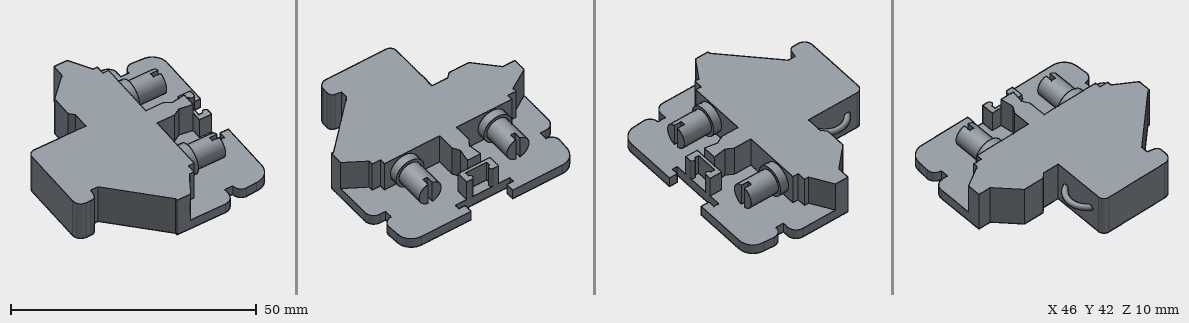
import cadquery as cq

length = 46.0
depth = 42.0
height = 10.0
half_length = length / 2
plate_thickness = 2.5

shoulder_bottom = 17.95
shoulder_top = 31.9
shoulder_radius = 2.2

notch_half_width = 19.4
notch_top = 33.8
ear_half_width = 21.45
ear_lower_radius = ear_half_width - notch_half_width
ear_taper_half_width = 21.25
ear_upper_radius = 3.6

rail_mouth_half_width = 5.2
rail_slot_half_width = 6.8
rail_lip_thickness = 2.02
rail_floor = 38.75

housing_corner_y = 21.2
housing_top = 26.7
step_y = 25.3
step_outer_x = 18.05
step_inner_x = 15.95
step_foot_y = 24.25

stem_half_width = 2.1
stem_shoulder_y = 30.95
waist_half_width = 1.15
waist_y = 32.6
stem_end_half_width = 1.65
stem_end = 35.75

left_slope_top_x = -19.95
left_slope_bottom_x = -15.05
left_ledge_y = 12.95
left_ledge_end_x = -10.05
foot_root_y = 14.05
foot_root_x = -8.95
foot_left = -5.05
foot_right = 13.52
foot_left_radius = 3.0 / 2
foot_right_radius = 2.02
toe_root_x = 11.0
toe_root_y = 4.85
toe_radius = 2.45 / 2
toe_slope_end = (12.45, 4.55)
toe_arc_end_y = 3.2
right_slope_bottom_y = 6.6
right_slope_top_x = 22.5

clip_half_width = 4.0
clip_height = 7.55
clip_pocket_half_width = 2.6
clip_pocket_floor = 36.5
clip_lip_bottom = 37.45
clip_lip_half_gap = 2.05
clip_lip_y = 38.0

screw_x = 11.0
screw_z = 6.05
screw_diameter = 5.5
collar_diameter = 7.0
collar_end = 28.7
screw_end = stem_end
screw_slot_width = 1.0
screw_slot_depth = 1.75
overlap = 0.45

ring_center = (-2.7, 7.8, 5.15)
wire_diameter = 1.4
ring_outer_radius = 5.15


def mirror_x(points):
    """The same points on the other side of the YZ plane, in reverse order."""
    return [(-x, y) for x, y in reversed(points)]


def lower_contour(sketch):
    """Continue from the left shoulder along the lower edge to the right shoulder."""
    return (
        sketch.lineTo(-half_length, shoulder_bottom)
        .lineTo(left_slope_top_x, shoulder_bottom)
        .lineTo(left_slope_bottom_x, left_ledge_y)
        .lineTo(left_ledge_end_x, left_ledge_y)
        .lineTo(foot_root_x, foot_root_y)
        .lineTo(foot_left, foot_root_y)
        .lineTo(foot_left, foot_left_radius)
        .radiusArc((foot_left + foot_left_radius, 0), -foot_left_radius)
        .lineTo(foot_right - foot_right_radius, 0)
        .radiusArc((foot_right, foot_right_radius), -foot_right_radius)
        .lineTo(foot_right, toe_arc_end_y)
        .radiusArc(toe_slope_end, -toe_radius)
        .lineTo(toe_root_x, toe_root_y)
        .lineTo(toe_root_x, right_slope_bottom_y)
        .lineTo(right_slope_top_x, shoulder_bottom)
        .lineTo(half_length, shoulder_bottom)
        .lineTo(half_length, housing_corner_y)
    )


def make_housing():
    left_edge = [
        (-step_inner_x, housing_top),
        (-step_inner_x, step_y),
        (-step_outer_x, step_y),
        (-step_outer_x, step_foot_y),
        (-half_length, housing_corner_y),
    ]
    outline = lower_contour(cq.Workplane("XY").polyline(left_edge))
    right_edge = mirror_x(left_edge)
    for point in right_edge[1:]:
        outline = outline.lineTo(*point)
    return outline.close().extrude(height)


def make_half_stem():
    """Left half of the stem, tapering to a narrow waist and widening again."""
    return (
        cq.Workplane("XY")
        .moveTo(0, housing_top)
        .lineTo(0, stem_end)
        .lineTo(-stem_end_half_width, stem_end)
        .lineTo(-waist_half_width, waist_y)
        .lineTo(-stem_half_width, stem_shoulder_y)
        .lineTo(-stem_half_width, housing_top)
        .close()
        .extrude(height)
    )


def make_half_plate():
    """Left half of the thin plate above the shoulder line, up to the rail opening."""
    ear_arc_y = depth - ear_upper_radius
    ear_arc_x = ear_taper_half_width - ear_upper_radius
    lip_y = depth - rail_lip_thickness
    return (
        cq.Workplane("XY")
        .moveTo(0, housing_corner_y)
        .lineTo(-half_length, housing_corner_y)
        .lineTo(-half_length, shoulder_top - shoulder_radius)
        .radiusArc((shoulder_radius - half_length, shoulder_top), shoulder_radius)
        .lineTo(-notch_half_width, shoulder_top)
        .lineTo(-notch_half_width, notch_top)
        .radiusArc((-ear_half_width, notch_top + ear_lower_radius), ear_lower_radius)
        .lineTo(-ear_taper_half_width, ear_arc_y)
        .radiusArc((-ear_arc_x, depth), ear_upper_radius)
        .lineTo(-rail_mouth_half_width, depth)
        .lineTo(-rail_mouth_half_width, lip_y)
        .lineTo(-rail_slot_half_width, lip_y)
        .lineTo(-rail_slot_half_width, rail_floor)
        .lineTo(0, rail_floor)
        .close()
        .extrude(plate_thickness)
    )


def make_clip():
    """U-shaped clip with two rounded lips that narrow its mouth."""
    return (
        cq.Workplane("XY")
        .moveTo(-clip_half_width, stem_end)
        .lineTo(-clip_half_width, rail_floor)
        .lineTo(-clip_pocket_half_width, rail_floor)
        .threePointArc((-clip_lip_half_gap, clip_lip_y), (-clip_pocket_half_width, clip_lip_bottom))
        .lineTo(-clip_pocket_half_width, clip_pocket_floor)
        .lineTo(clip_pocket_half_width, clip_pocket_floor)
        .lineTo(clip_pocket_half_width, clip_lip_bottom)
        .threePointArc((clip_lip_half_gap, clip_lip_y), (clip_pocket_half_width, rail_floor))
        .lineTo(clip_half_width, rail_floor)
        .lineTo(clip_half_width, stem_end)
        .close()
        .extrude(clip_height)
    )


def cylinder_along_y(x, diameter, end):
    start = housing_top - overlap
    axis_start = cq.Vector(x, start, screw_z)
    return cq.Solid.makeCylinder(diameter / 2, end - start, axis_start, cq.Vector(0, 1, 0))


def make_screw(x):
    slot = cq.Workplane("XY").box(screw_slot_width, 2 * screw_slot_depth, screw_diameter)
    shank = cq.Workplane(cylinder_along_y(x, screw_diameter, screw_end))
    collar = cylinder_along_y(x, collar_diameter, collar_end)
    return shank.cut(slot.translate((x, screw_end, screw_z))).union(collar)


def make_ring():
    wire_radius = wire_diameter / 2
    return cq.Solid.makeTorus(ring_outer_radius - wire_radius, wire_radius, cq.Vector(*ring_center))


result = make_housing().union(make_clip())
for half in (make_half_plate(), make_half_stem()):
    result = result.union(half).union(half.mirror("YZ"))
for side in (-1, 1):
    result = result.union(make_screw(side * screw_x))
result = result.union(make_ring())